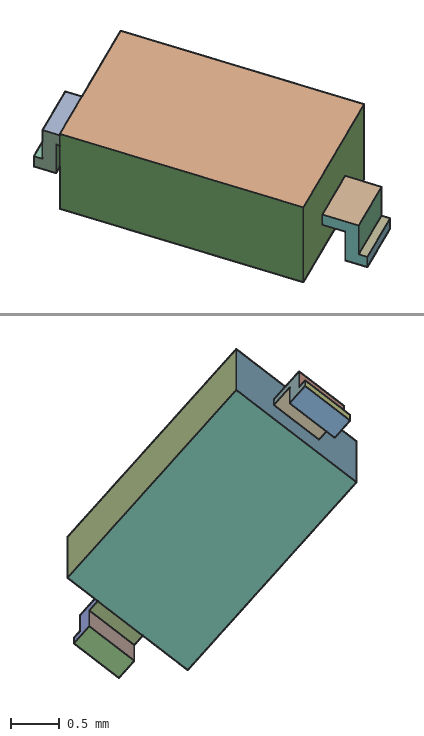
import cadquery as cq

total_length = 3.7
body_width = 1.6
total_height = 1.15

body_length = 2.7
standoff = 0.05
body_height = total_height - standoff

lead_width = 0.6
lead_thickness = 0.15
lead_top = 0.575
toe_length = 0.095


def make_body():
    return cq.Workplane("XY").workplane(offset=standoff).box(
        body_length, body_width, body_height, centered=(True, True, False)
    )


def make_lead():
    """Z-bent lead on the +X end, with its toe pointing outward."""
    body_end = body_length / 2
    toe_end = total_length / 2
    riser_outer = toe_end - toe_length
    riser_inner = riser_outer - lead_thickness
    profile = [
        (body_end, lead_top),
        (riser_outer, lead_top),
        (riser_outer, lead_thickness),
        (toe_end, lead_thickness),
        (toe_end, 0),
        (riser_inner, 0),
        (riser_inner, lead_top - lead_thickness),
        (body_end, lead_top - lead_thickness),
    ]
    return cq.Workplane("XZ").polyline(profile).close().extrude(lead_width / 2, both=True)


right_lead = make_lead()
left_lead = right_lead.mirror("YZ")
result = make_body().union(right_lead).union(left_lead)